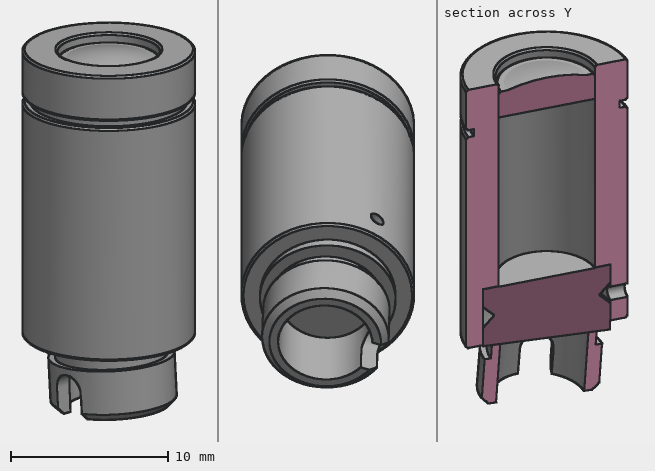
import cadquery as cq
import math


TOTAL_HEIGHT = 23.95
HOUSING_RADIUS = 11.0 / 2
HOUSING_BOTTOM = 4.85
EDGE_CHAMFER = 0.15
GROOVE_RADIUS = 4.98
GROOVE_BOTTOM = 20.45
GROOVE_HEIGHT = 0.48
BORE_RADIUS = 3.25
SIDE_HOLE_RADIUS = 0.48
SIDE_HOLE_HEIGHT = 6.87

LENS_TOP = 23.35
LENS_THICKNESS = 1.92
LENS_CHAMFER = 0.12
DOME_RADIUS = 2.7
DOME_HEIGHT = 0.38

TILT = 4.0
TURN = -15.0

SOCKET_RADIUS = 4.02
SOCKET_HEIGHT = 3.33
SOCKET_CHAMFER = 0.48
SOCKET_BORE_RADIUS = 3.0
NECK_RADIUS = 3.6
NECK_HEIGHT = 0.93
PIVOT_TO_SOCKET_END = 6.82
KEY_SLOT_WIDTH = 2.15
KEY_SLOT_HEIGHT = 2.87

PLUG_RADIUS = 4.3
PLUG_GROOVE_HEIGHT = 6.92
PLUG_GROOVE_DEPTH = 0.72

end_rim_radius = SOCKET_RADIUS - SOCKET_CHAMFER
tilt_radians = math.radians(TILT)
pivot_height = PIVOT_TO_SOCKET_END * math.cos(tilt_radians) + end_rim_radius * math.sin(tilt_radians)

plug_top = 2 * PLUG_GROOVE_HEIGHT - HOUSING_BOTTOM


def cylinder(radius, bottom, height):
    return cq.Workplane("XY").workplane(offset=bottom).circle(radius).extrude(height)


def tilted(body):
    """Move a body from the socket frame, whose origin is the pivot, to its place."""
    body = body.rotate((0, 0, 0), (0, 1, 0), -TILT)
    body = body.rotate((0, 0, 0), (0, 0, 1), TURN)
    return body.translate((0, 0, pivot_height))


def make_housing():
    lower = cylinder(HOUSING_RADIUS, HOUSING_BOTTOM, GROOVE_BOTTOM - HOUSING_BOTTOM)
    lower = lower.edges().chamfer(EDGE_CHAMFER)
    head_bottom = GROOVE_BOTTOM + GROOVE_HEIGHT
    head = cylinder(HOUSING_RADIUS, head_bottom, TOTAL_HEIGHT - head_bottom)
    head = head.edges().chamfer(EDGE_CHAMFER)
    groove_core = cylinder(GROOVE_RADIUS, GROOVE_BOTTOM, GROOVE_HEIGHT)
    body = lower.union(groove_core).union(head)

    body = body.cut(cylinder(BORE_RADIUS, HOUSING_BOTTOM, TOTAL_HEIGHT - HOUSING_BOTTOM))
    mouth = cq.selectors.RadiusNthSelector(0)
    body = body.faces(">Z").edges(mouth).chamfer(EDGE_CHAMFER)
    body = body.cut(cylinder(PLUG_RADIUS, HOUSING_BOTTOM, plug_top - HOUSING_BOTTOM))

    side_hole = (
        cq.Workplane("YZ")
        .center(0, SIDE_HOLE_HEIGHT)
        .circle(SIDE_HOLE_RADIUS)
        .extrude(-HOUSING_RADIUS)
    )
    return body.cut(side_hole)


def make_lens():
    rim_height = LENS_TOP - LENS_CHAMFER
    dome_sphere_radius = (DOME_RADIUS**2 + DOME_HEIGHT**2) / (2 * DOME_HEIGHT)
    half_angle = math.asin(DOME_RADIUS / dome_sphere_radius) / 2
    dome_middle = (
        dome_sphere_radius * math.sin(half_angle),
        LENS_TOP + DOME_HEIGHT - dome_sphere_radius * (1 - math.cos(half_angle)),
    )
    return (
        cq.Workplane("XZ")
        .moveTo(0, LENS_TOP - LENS_THICKNESS)
        .lineTo(BORE_RADIUS, LENS_TOP - LENS_THICKNESS)
        .lineTo(BORE_RADIUS, rim_height)
        .lineTo(BORE_RADIUS - LENS_CHAMFER, LENS_TOP)
        .lineTo(DOME_RADIUS, LENS_TOP)
        .threePointArc(dome_middle, (0, LENS_TOP + DOME_HEIGHT))
        .close()
        .revolve(360, (0, 0), (0, 1))
    )


def make_plug():
    body = cylinder(PLUG_RADIUS, 0, plug_top)

    seat = -PIVOT_TO_SOCKET_END + SOCKET_HEIGHT + NECK_HEIGHT
    below_seat = cylinder(2 * PLUG_RADIUS, seat - TOTAL_HEIGHT, TOTAL_HEIGHT)
    body = body.cut(tilted(below_seat))

    groove = (
        cq.Workplane("XZ")
        .moveTo(PLUG_RADIUS - PLUG_GROOVE_DEPTH, PLUG_GROOVE_HEIGHT)
        .lineTo(PLUG_RADIUS, PLUG_GROOVE_HEIGHT + PLUG_GROOVE_DEPTH)
        .lineTo(PLUG_RADIUS, PLUG_GROOVE_HEIGHT - PLUG_GROOVE_DEPTH)
        .close()
        .revolve(360, (0, 0), (0, 1))
    )
    return body.cut(groove)


def make_socket():
    end = -PIVOT_TO_SOCKET_END
    collar = cylinder(SOCKET_RADIUS, end, SOCKET_HEIGHT).faces("<Z").edges().chamfer(SOCKET_CHAMFER)
    neck = cylinder(NECK_RADIUS, end + SOCKET_HEIGHT, NECK_HEIGHT)
    bore = cylinder(SOCKET_BORE_RADIUS, end, SOCKET_HEIGHT + NECK_HEIGHT)
    body = collar.union(neck).cut(bore)

    half_width = KEY_SLOT_WIDTH / 2
    spring_line = end + KEY_SLOT_HEIGHT - half_width
    slot = (
        cq.Workplane("XZ")
        .moveTo(-half_width, end)
        .lineTo(half_width, end)
        .lineTo(half_width, spring_line)
        .threePointArc((0, end + KEY_SLOT_HEIGHT), (-half_width, spring_line))
        .close()
        .extrude(SOCKET_RADIUS)
    )
    return tilted(body.cut(slot))


housing = make_housing()
lens = make_lens()
plug = make_plug()
socket = make_socket()

result = cq.Compound.makeCompound([housing.val(), lens.val(), plug.val(), socket.val()])